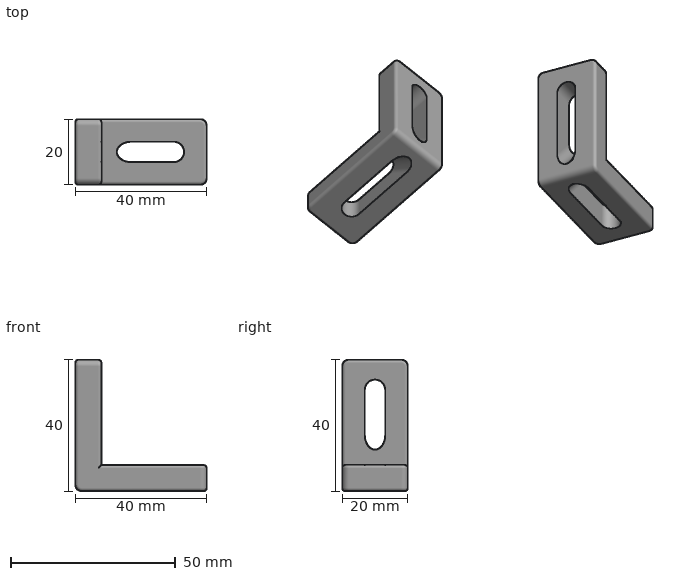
import cadquery as cq
import math

leg_length = 40.0
width = 20.0
thickness = 8.0

corner_radius = 2.0
edge_radius = 1.0

slot_width = 6.1
base_slot_end_axis = 30.0
upright_slot_end_axis = 30.85

slant_angle = 45.0
slant_axis_start = 9.0


def rounded_bracket():
    """L-shaped bracket with its outer corner at X = Z = 0, centred on Y = 0."""
    outline = [
        (0, 0),
        (leg_length, 0),
        (leg_length, thickness),
        (thickness, thickness),
        (thickness, leg_length),
        (0, leg_length),
    ]
    body = cq.Workplane("XZ").polyline(outline).close().extrude(width / 2, both=True)

    body = body.edges("(|Z and >X) or (|X and >Z)").fillet(corner_radius)
    body = body.edges("|Y and <X and <Z").fillet(corner_radius)

    side_edges = body.faces("<Y or >Y").edges("(|X or |Z) exc (>X or >Z)")
    return side_edges.fillet(edge_radius)


def base_slot_cutter(end_axis):
    """Slot through the base leg: a square-on round outer end and a slanted round inner end."""
    radius = slot_width / 2
    slant_run = thickness / math.tan(math.radians(slant_angle))
    slant_axis_top = slant_axis_start + slant_run

    side_profile = [
        (slant_axis_start, 0),
        (end_axis, 0),
        (end_axis, thickness),
        (slant_axis_top, thickness),
    ]
    middle = cq.Workplane("XZ").polyline(side_profile).close().extrude(radius, both=True)
    outer_end = cq.Workplane("XY").center(end_axis, 0).circle(radius).extrude(thickness)

    reach = 2 * thickness
    slant_direction = cq.Vector(slant_run, 0, thickness).normalized()
    slant_centre = cq.Vector((slant_axis_start + slant_axis_top) / 2, 0, thickness / 2)
    slant_base = slant_centre - slant_direction * reach
    slanted_end = cq.Workplane(cq.Solid.makeCylinder(radius, 2 * reach, slant_base, slant_direction))

    leg_slab = cq.Workplane("XY").box(2 * leg_length, width, thickness, centered=(True, True, False))
    return middle.union(outer_end).union(slanted_end.intersect(leg_slab))


def upright_slot_cutter(end_axis):
    """Slot through the upright leg: a base slot with X and Z swapped by a half turn."""
    return base_slot_cutter(end_axis).rotate((0, 0, 0), (1, 0, 1), 180)


bracket = rounded_bracket()
bracket = bracket.cut(base_slot_cutter(base_slot_end_axis))
result = bracket.cut(upright_slot_cutter(upright_slot_end_axis))